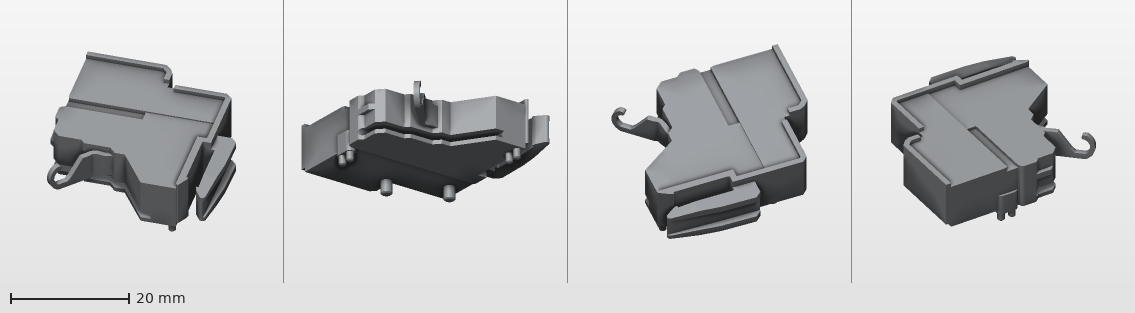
import cadquery as cq
import math

RIM_WALL = 1.0
RIM_TOP = 9.22
RIM_BOTTOM = 1.05
REAR_FLOOR = 8.43
FRONT_TOP = 8.18
STRIP_FLOOR = 7.65
REAR_BOTTOM = 0.25

LEFT = 0.82
FRONT = 0.25
BACK = 31.45
STEP_X = 16.25
STEP_Y = 26.55
RIGHT = 27.78
SPLIT_Y = 19.15
JOINT_Y = 17.15
ARM_LEFT = 25.07
ARM_RIGHT = 26.3
ARM_ROOT = 12.7
BARB_Y = 2.5
SHOULDER_Y = ARM_ROOT + 1.1
INNER_RIGHT = RIGHT - RIM_WALL
INNER_BACK = BACK - RIM_WALL
INNER_STEP_X = STEP_X - RIM_WALL
INNER_STEP_Y = STEP_Y - RIM_WALL


def prism(points, bottom, top):
    """Vertical prism over a closed outline."""
    return cq.Workplane("XY").workplane(offset=bottom).polyline(points).close().extrude(top - bottom)


def box(x_range, y_range, z_range):
    """Block between pairs of limits."""
    (x0, x1), (y0, y1), (z0, z1) = x_range, y_range, z_range
    return cq.Workplane("XY").box(x1 - x0, y1 - y0, z1 - z0, centered=False).translate((x0, y0, z0))


def round_slot_corner(body, x):
    """Round one inner corner at the closed end of the latch slot."""
    corner_radius = 0.22
    mid_height = 5.03
    corner = cq.selectors.NearestToPointSelector((x, ARM_ROOT, mid_height))
    return body.edges(corner).fillet(corner_radius)


def front_housing():
    corner_radius = 0.65
    corner_top = JOINT_Y - 0.2
    outline = (
        cq.Workplane("XY")
        .moveTo(LEFT, JOINT_Y)
        .lineTo(corner_radius, corner_top)
        .radiusArc((0, corner_top - corner_radius), -corner_radius)
        .polyline(
            [(0, 11.05), (2.05, 8.95), (6.0, 8.95), (6.75, 8.15), (11.33, 8.15), (12.45, 6.95),
             (14.22, 6.95), (18.88, FRONT), (ARM_LEFT, FRONT), (ARM_LEFT, SHOULDER_Y),
             (INNER_RIGHT, SHOULDER_Y), (INNER_RIGHT, SPLIT_Y), (LEFT, SPLIT_Y)],
            includeCurrent=True,
        )
        .close()
    )
    block = outline.extrude(FRONT_TOP)
    strip_right = 14.5
    strip = box((-0.3, strip_right), (JOINT_Y, SPLIT_Y), (STRIP_FLOOR, FRONT_TOP + 0.3))
    below = box((-0.3, RIGHT), (JOINT_Y, BACK), (-0.3, REAR_BOTTOM))
    return block.cut(strip).cut(below)


def rim_inner_line():
    """Inner edge of the rim from the left face round to the right wall."""
    corner_cut = 0.25
    return [
        (LEFT, INNER_BACK), (14.4, INNER_BACK), (INNER_STEP_X, 29.57), (INNER_STEP_X, INNER_STEP_Y),
        (INNER_RIGHT - corner_cut, INNER_STEP_Y), (INNER_RIGHT, INNER_STEP_Y - corner_cut),
    ]


def rear_housing():
    outline = [(LEFT, SPLIT_Y)] + rim_inner_line() + [(INNER_RIGHT, SPLIT_Y)]
    block = prism(outline, REAR_BOTTOM, REAR_FLOOR)
    cut_x = LEFT + 0.2
    cut_y = SPLIT_Y + 0.5
    corner = prism([(LEFT, SPLIT_Y), (cut_x, SPLIT_Y), (LEFT, cut_y)], STRIP_FLOOR, REAR_FLOOR)
    return block.cut(corner)


def rim():
    """Wall around the back and right, ending in the fixed latch arm, open at the inner step."""
    corner_cut = 1.0
    outline = [
        (LEFT, BACK), (14.72, BACK), (15.82, 30.42), (STEP_X, 29.55), (STEP_X, STEP_Y),
        (RIGHT - corner_cut, STEP_Y), (RIGHT, STEP_Y - corner_cut),
        (RIGHT, ARM_ROOT), (ARM_RIGHT, ARM_ROOT),
        (ARM_RIGHT, BARB_Y), (26.68, BARB_Y), (26.68, 2.25), (26.5, 1.73), (25.55, 0), (25.33, 0),
        (ARM_LEFT, 0.38), (ARM_LEFT, SHOULDER_Y), (INNER_RIGHT, SHOULDER_Y),
    ] + rim_inner_line()[::-1]
    wall = prism(outline, RIM_BOTTOM, RIM_TOP)
    gap_right = 17.62
    gap_back = 27.6
    gap = box((INNER_STEP_X, gap_right), (INNER_STEP_Y, gap_back), (REAR_FLOOR, RIM_TOP + 0.3))
    return round_slot_corner(wall.cut(gap), ARM_RIGHT)


CLIP_BOTTOM = 1.82
CLIP_TOP = 7.83


def clip():
    inner = 28.45
    outer = 31.35
    body = (
        cq.Workplane("XY")
        .workplane(offset=CLIP_BOTTOM)
        .polyline([(RIGHT, ARM_ROOT), (inner, ARM_ROOT), (inner, BARB_Y), (28.03, BARB_Y), (28.03, 2.25),
                   (28.22, 1.73), (29.23, 0.22)])
        .threePointArc((29.67, 0), (30.23, 0.4))
        .polyline([(31.25, 9.28), (outer, 15.67), (30.4, 16.7), (RIGHT, 16.7)], includeCurrent=True)
        .close()
        .extrude(CLIP_TOP - CLIP_BOTTOM)
    )
    body = round_slot_corner(body, inner)
    flange_low, flange_high = 3.1, 6.58
    beyond = outer + 0.3
    channel = [(29.85, -0.3), (beyond, -0.3), (beyond, 18.88), (30.23, 18.88), (30.15, 9.45)]
    body = body.cut(prism(channel, flange_low, flange_high))
    taper_start = 5.63
    taper_drop = 0.55
    for face, drop in ((CLIP_TOP, taper_drop), (CLIP_BOTTOM, -taper_drop)):
        wedge = (
            cq.Workplane("YZ")
            .workplane(offset=RIGHT)
            .polyline([(taper_start, face), (0, face - drop), (-0.3, face - drop), (-0.3, face + drop),
                       (taper_start, face + drop)])
            .close()
            .extrude(beyond - RIGHT)
        )
        body = body.cut(wedge)
    return body


def long_groove():
    """Groove with a round inner end, open to the front and the left."""
    low, high = 0.75, 2.08
    radius = (high - low) / 2
    groove_right = 20.67
    groove_back = 14.05
    return (
        cq.Workplane("YZ")
        .workplane(offset=-0.3)
        .moveTo(-0.3, low)
        .lineTo(groove_back - radius, low)
        .threePointArc((groove_back, low + radius), (groove_back - radius, high))
        .lineTo(-0.3, high)
        .close()
        .extrude(groove_right + 0.3)
    )


def corner_notch(bottom, top):
    """Shallow relief on the left corner."""
    depth = 0.8
    return prism([(0, 14.05), (0.15, 13.8), (depth, 13.18), (depth, 9.75), (0, 9.75)], bottom, top)


FOOT_X = 1.3
FOOT_PINS_Y = (18.1, 20.25)


def foot():
    """Upright with round ends around the two left pins, standing out of the left face."""
    width = 1.82
    bottom, top = -0.5, 3.25
    spacing = FOOT_PINS_Y[1] - FOOT_PINS_Y[0]
    return (
        cq.Workplane("XY", origin=(FOOT_X, sum(FOOT_PINS_Y) / 2, bottom))
        .slot2D(spacing + width, width, 90)
        .extrude(top - bottom)
    )


def pin(x, y, diameter, top, bottom):
    """Round pin with a chamfered lower end."""
    tip_chamfer = 0.22
    return (
        cq.Workplane("XY", origin=(x, y, bottom))
        .circle(diameter / 2)
        .extrude(top - bottom)
        .faces("<Z")
        .chamfer(tip_chamfer)
    )


def pins():
    small, large = 1.3, 2.0
    long_end, short_end = -2.17, -1.75
    embed = 0.63
    made = [pin(14.3, 25.48, large, embed, long_end), pin(24.38, 21.17, large, embed, long_end)]
    made += [pin(FOOT_X, y, small, embed, long_end) for y in FOOT_PINS_Y]
    made += [pin(24.13, y, small, embed, short_end) for y in (1.38, 3.62)]
    return made


SHEET = 1.05
HOOK_LOW = 2.58
HOOK_HIGH = 7.4
HOOK_ANGLE = math.radians(46.6)
HOOK_TIP = (2.93, 0.35)
LEG_LENGTH = 7.75


def hook_leg():
    """Slanted leg with a hook-shaped cut-out in the plane of the sheet."""
    along = (math.cos(HOOK_ANGLE), math.sin(HOOK_ANGLE), 0)
    outward = (math.sin(HOOK_ANGLE), -math.cos(HOOK_ANGLE), 0)
    plane = cq.Plane(origin=(*HOOK_TIP, 0), xDir=along, normal=outward)
    return (
        cq.Workplane(plane)
        .moveTo(LEG_LENGTH, HOOK_LOW)
        .lineTo(1.7, HOOK_LOW)
        .threePointArc((0.47, 3.52), (0, 5.0))
        .threePointArc((0.38, 6.4), (1.4, HOOK_HIGH))
        .lineTo(1.85, HOOK_HIGH)
        .threePointArc((2.33, 6.98), (1.85, 6.58))
        .threePointArc((0.82, 5.0), (1.7, 3.65))
        .lineTo(3.5, 3.65)
        .lineTo(4.18, 4.28)
        .lineTo(6.48, HOOK_HIGH)
        .lineTo(LEG_LENGTH, HOOK_HIGH)
        .close()
        .extrude(-SHEET)
    )


def hook_root():
    """Bend and the narrowing tongue that enters the housing."""
    along_x, along_y = math.cos(HOOK_ANGLE), math.sin(HOOK_ANGLE)
    bend_front = (HOOK_TIP[0] + LEG_LENGTH * along_x, HOOK_TIP[1] + LEG_LENGTH * along_y)
    bend_back = (bend_front[0] - SHEET * along_y, bend_front[1] + SHEET * along_x)
    back_straight = 0.4
    arc_start = (bend_back[0] + back_straight * along_x, bend_back[1] + back_straight * along_y)
    root = (
        cq.Workplane("XY")
        .workplane(offset=HOOK_LOW)
        .polyline([bend_front, (8.65, 6.65), (12.58, 7.55), (12.58, 8.6), (8.55, 7.55)])
        .threePointArc((8.1, 7.33), arc_start)
        .lineTo(*bend_back)
        .close()
        .extrude(HOOK_HIGH - HOOK_LOW)
    )
    neck_start, neck_end = 9.35, 10.63
    neck_drop = 0.38
    beyond = 14.15
    for face, drop in ((HOOK_HIGH, neck_drop), (HOOK_LOW, -neck_drop)):
        relief = (
            cq.Workplane("XZ")
            .polyline([(neck_start, face), (neck_end, face - drop), (beyond, face - drop),
                       (beyond, face + drop), (neck_start, face + drop)])
            .close()
            .extrude(-12.58)
        )
        root = root.cut(relief)
    return root


rib_bottom, rib_top = 4.53, 5.6
housing = (
    front_housing()
    .cut(long_groove())
    .cut(corner_notch(-0.3, rib_bottom))
    .cut(corner_notch(rib_top, FRONT_TOP + 0.3))
)
result = housing.union(rear_housing()).union(rim()).union(clip()).union(foot())
for part in pins() + [hook_leg(), hook_root()]:
    result = result.union(part)